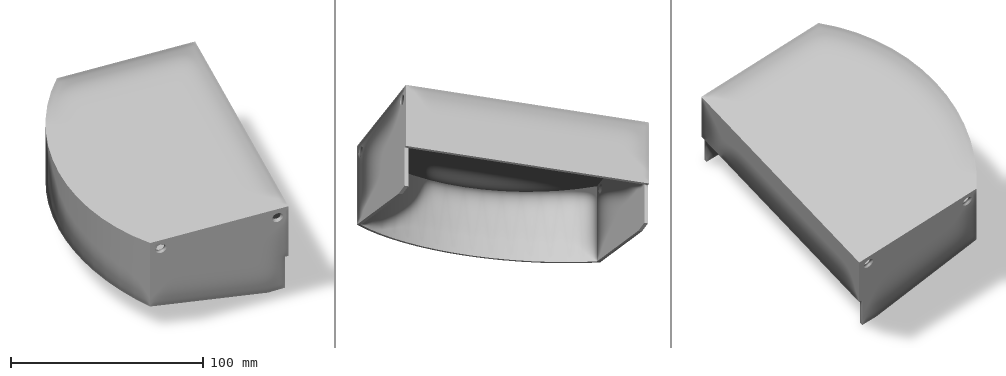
import cadquery as cq
import math

width = 134.0
depth = 102.0
height = 57.8
wall = 2.0

side_depth = 77.0
front_bottom = 17.2
slope_start = 11.4
heel_rise = 0.3
back_height = 35.4

bow = depth - side_depth
bow_radius = ((width / 2) ** 2 + bow**2) / (2 * bow)
bow_centre = bow_radius - depth

hole_diameter = 5.0
sink_diameter = 6.0
hole_inset = 6.0
sink_depth = (sink_diameter - hole_diameter) / 2


def bowed_prism(inset, top):
    """Prism with a flat back, straight sides and a bowed front, inset from the outer faces."""
    half_width = width / 2 - inset
    radius = bow_radius - inset
    side_end = bow_centre - math.sqrt(radius**2 - half_width**2)
    return (
        cq.Workplane("XY")
        .moveTo(-half_width, -inset)
        .lineTo(-half_width, side_end)
        .threePointArc((0, inset - depth), (half_width, side_end))
        .lineTo(half_width, -inset)
        .close()
        .extrude(top)
    )


def side_profile():
    """Full-width block with the side silhouette: stepped back and sloping rim."""
    step = height - back_height
    return (
        cq.Workplane("YZ")
        .polyline([
            (0, height),
            (0, step),
            (-wall, step),
            (-wall, heel_rise),
            (-slope_start, 0),
            (-depth, front_bottom),
            (-depth, height),
        ])
        .close()
        .extrude(width / 2, both=True)
    )


def screw_hole(side, y, z):
    """Cutter for one countersunk hole; side is -1 or 1 along X."""
    outer_face = cq.Vector(side * width / 2, y, z)
    inward = cq.Vector(-side, 0, 0)
    bore = cq.Solid.makeCylinder(hole_diameter / 2, 2 * wall, outer_face, inward)
    sink = cq.Solid.makeCone(sink_diameter / 2, hole_diameter / 2, sink_depth, outer_face, inward)
    return bore.fuse(sink)


outer = bowed_prism(0, height)
cavity = bowed_prism(wall, height - wall)
result = outer.intersect(side_profile()).cut(cavity)

for side in (-1, 1):
    for hole_y in (-hole_inset, hole_inset - side_depth):
        result = result.cut(cq.Workplane(obj=screw_hole(side, hole_y, height - hole_inset)))